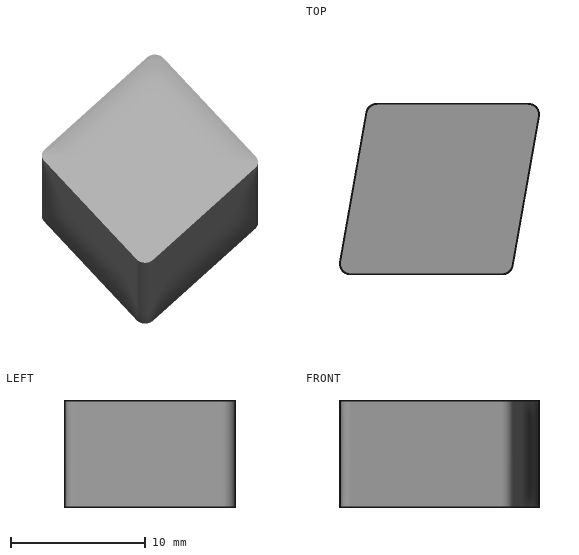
import cadquery as cq
import math

length = 14.83
depth = 12.7
height = 7.93
acute_angle = math.radians(80)
corner_radius = 0.8

tip_loss = corner_radius / math.tan(acute_angle / 2) - corner_radius
lean = depth / math.tan(acute_angle)
side = length + 2 * tip_loss - lean

right_front = ((side - lean) / 2, -depth / 2)
right_back = ((side + lean) / 2, depth / 2)
left_back = (-right_front[0], -right_front[1])
left_front = (-right_back[0], -right_back[1])

result = (
    cq.Workplane("XY")
    .polyline([left_front, right_front, right_back, left_back])
    .close()
    .extrude(height)
    .edges("|Z")
    .fillet(corner_radius)
)